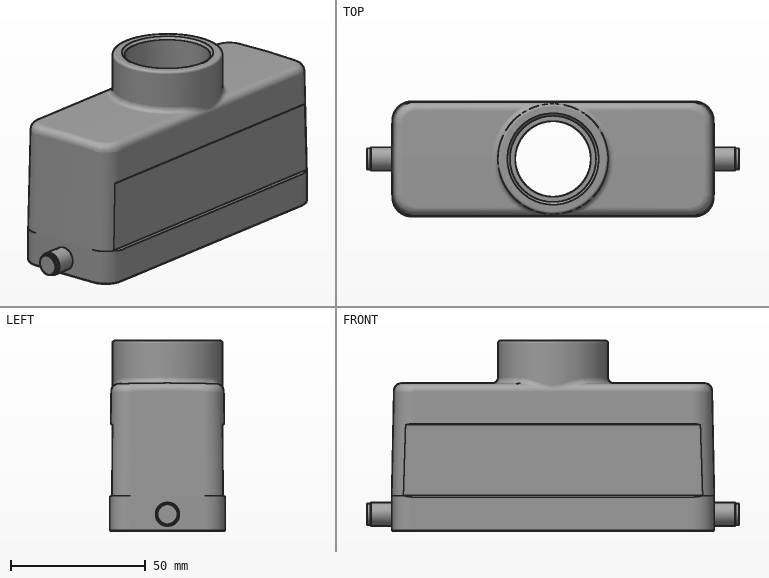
import cadquery as cq
length = 120.0
width = 43.0
skirt_height = 13.2
corner_radius = 7.6
rim_chamfer = 0.5

end_ridge_slope = 0.012
roof_height = 55.2
roof_ridge_slope = 0.014
roof_length = 118.3
roof_width = 41.9
roof_edge_radius = 3.0

panel_bottom = 12.8
panel_top = 40.2
panel_bottom_half_width = 20.7
panel_top_half_width = 20.5
panel_bevel_height = 0.6
panel_bevel_depth = 0.8

total_height = 71.0
collar_diameter = 41.0
collar_edge_radius = 1.0
collar_fillet = 2.0
bore_diameter = 32.0
bore_depth = 15.0
bore_chamfer = 1.0
hole_diameter = 28.0

wall_thickness = 3.5
cavity_height = 53.0
cavity_corner_radius = corner_radius - wall_thickness

overall_length = 138.5
pin_diameter = 8.8
pin_tip_diameter = 8.0
pin_tip_length = 1.3
pin_tip_chamfer = 0.3
pin_cone_length = 0.4
pin_height = 6.4
pin_embed = 2.0


def half_outline(outline_length, outline_width):
    """Corner points of the hood outline on the +Y side of the centre plane."""
    end_x = outline_length / 2
    side_y = outline_width / 2
    corner_x = end_x - end_ridge_slope * side_y
    return [(end_x, 0), (corner_x, side_y), (-corner_x, side_y), (-end_x, 0)]


def round_corners(half, height):
    """Round the two upright corner edges that pass the given height."""
    for side in (-1, 1):
        corner = (side * length / 2, width / 2, height)
        half = half.edges(cq.NearestToPointSelector(corner)).fillet(corner_radius)
    return half


def make_frustum(lower_outline, lower_z, upper_outline, upper_z):
    """Flat-sided solid between two outlines that have the same number of corners."""
    lower = [cq.Vector(x, y, lower_z) for x, y in lower_outline]
    upper = [cq.Vector(x, y, upper_z) for x, y in upper_outline]
    polygons = [lower, upper]
    for i in range(len(lower)):
        previous = i - 1
        polygons.append([lower[previous], lower[i], upper[i], upper[previous]])
    faces = [cq.Face.makeFromWires(cq.Wire.makePolygon(points, close=True)) for points in polygons]
    return cq.Workplane(obj=cq.Solid.makeSolid(cq.Shell.makeShell(faces)))


def make_half_skirt():
    half = cq.Workplane("XY").polyline(half_outline(length, width)).close().extrude(skirt_height)
    half = round_corners(half, skirt_height / 2)
    lowest = cq.selectors.DirectionMinMaxSelector(cq.Vector(0, 0, 1), directionMax=False)
    centre_edge = cq.NearestToPointSelector((0, 0, 0))
    return half.edges(lowest - centre_edge).chamfer(rim_chamfer)


def make_half_upper_body():
    half = make_frustum(
        half_outline(length, width), skirt_height, half_outline(roof_length, roof_width), roof_height
    )
    roof_side_height = roof_height - roof_ridge_slope * width / 2
    section = [
        (0, skirt_height),
        (width / 2, skirt_height),
        (width / 2, roof_side_height),
        (0, roof_height),
    ]
    half = half.intersect(cq.Workplane("YZ").polyline(section).close().extrude(length / 2, both=True))
    half = round_corners(half, (skirt_height + roof_height) / 2)
    roof_edges = cq.selectors.BoxSelector(
        (-length, -width, roof_side_height - roof_edge_radius), (length, width, total_height)
    )
    ridge = cq.NearestToPointSelector((0, 0, roof_height))
    return half.edges(roof_edges - ridge).fillet(roof_edge_radius)


def make_hood():
    """Closed outer block of the hood, made of two halves mirrored about the centre plane."""
    half = make_half_skirt().union(make_half_upper_body())
    return half.union(half.mirror("XZ"))


def cut_label_panels(body):
    """Trim both long sides back to the panel planes, with bevelled upper and lower steps."""
    outside = width
    for side in (-1, 1):
        profile = [
            (side * outside, panel_bottom),
            (side * (panel_bottom_half_width + panel_bevel_depth), panel_bottom),
            (side * panel_bottom_half_width, panel_bottom + panel_bevel_height),
            (side * panel_top_half_width, panel_top - panel_bevel_height),
            (side * (panel_top_half_width + panel_bevel_depth), panel_top),
            (side * outside, panel_top),
        ]
        cutter = cq.Workplane("YZ").polyline(profile).close().extrude(length / 2, both=True)
        body = body.cut(cutter)
    return body


def add_collar(body):
    collar = (
        cq.Workplane("XY", origin=(0, 0, cavity_height - roof_edge_radius))
        .circle(collar_diameter / 2)
        .extrude(total_height - cavity_height + roof_edge_radius)
        .faces(">Z")
        .edges()
        .fillet(collar_edge_radius)
    )
    body = body.union(collar)
    reach = collar_diameter / 2 + 0.5
    root = cq.selectors.BoxSelector(
        (-reach, -reach, roof_height - roof_edge_radius - 0.5), (reach, reach, roof_height + 0.5), True
    )
    return body.edges(root).fillet(collar_fillet)


def hollow_out(body):
    cavity = (
        cq.Workplane("XY")
        .rect(length - 2 * wall_thickness, width - 2 * wall_thickness)
        .extrude(cavity_height)
        .edges("|Z")
        .fillet(cavity_corner_radius)
    )
    bore_radius = bore_diameter / 2
    entry_profile = [
        (0, cavity_height),
        (hole_diameter / 2, cavity_height),
        (hole_diameter / 2, total_height - bore_depth),
        (bore_radius, total_height - bore_depth),
        (bore_radius, total_height - bore_chamfer),
        (bore_radius + bore_chamfer, total_height),
        (0, total_height),
    ]
    entry = cq.Workplane("XZ").polyline(entry_profile).close().revolve(360, (0, 0), (0, 1))
    return body.cut(cavity).cut(entry)


def make_pin(side):
    """Round pin standing out of the end wall on the given side (+1 or -1)."""
    start = length / 2 - pin_embed
    end = overall_length / 2
    tip_start = end - pin_tip_length
    radius = pin_diameter / 2
    tip_radius = pin_tip_diameter / 2
    profile = [
        (side * start, 0),
        (side * start, radius),
        (side * (tip_start - pin_cone_length), radius),
        (side * tip_start, tip_radius),
        (side * (end - pin_tip_chamfer), tip_radius),
        (side * end, tip_radius - pin_tip_chamfer),
        (side * end, 0),
    ]
    pin = cq.Workplane("XY").polyline(profile).close().revolve(360, (0, 0), (1, 0))
    return pin.translate((0, 0, pin_height))


result = add_collar(cut_label_panels(make_hood()))
result = hollow_out(result)
for end in (-1, 1):
    result = result.union(make_pin(end))